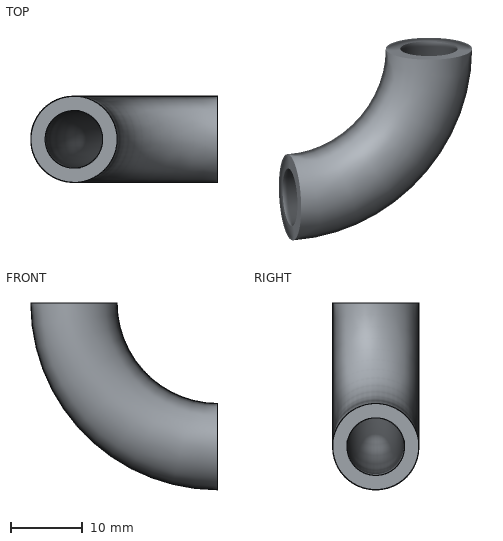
import cadquery as cq

overall_length = 26.0
outer_diameter = 12.0
bore_diameter = 8.0
bend_angle = 90.0

bend_radius = overall_length - outer_diameter / 2

result = (
    cq.Workplane("XY")
    .circle(outer_diameter / 2)
    .circle(bore_diameter / 2)
    .revolve(bend_angle, (bend_radius, 0, 0), (bend_radius, -1, 0))
)